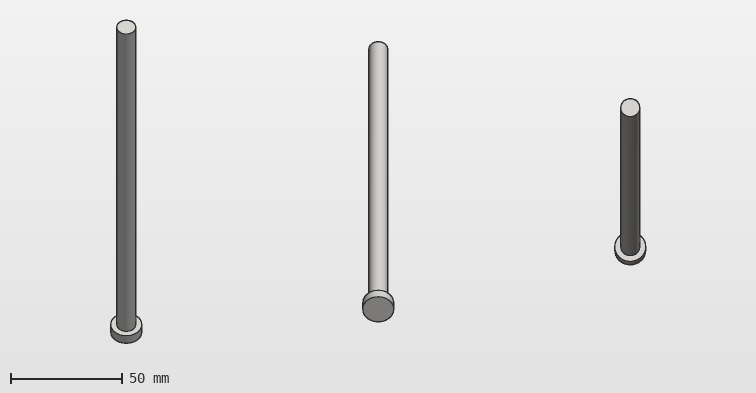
import cadquery as cq

total_length = 200.0
head_diameter = 14.0
head_height = 5.0
shaft_diameter = 8.5

head = cq.Workplane("XY").circle(head_diameter / 2).extrude(head_height)
shaft = cq.Workplane("XY").circle(shaft_diameter / 2).extrude(total_length)

result = head.union(shaft)